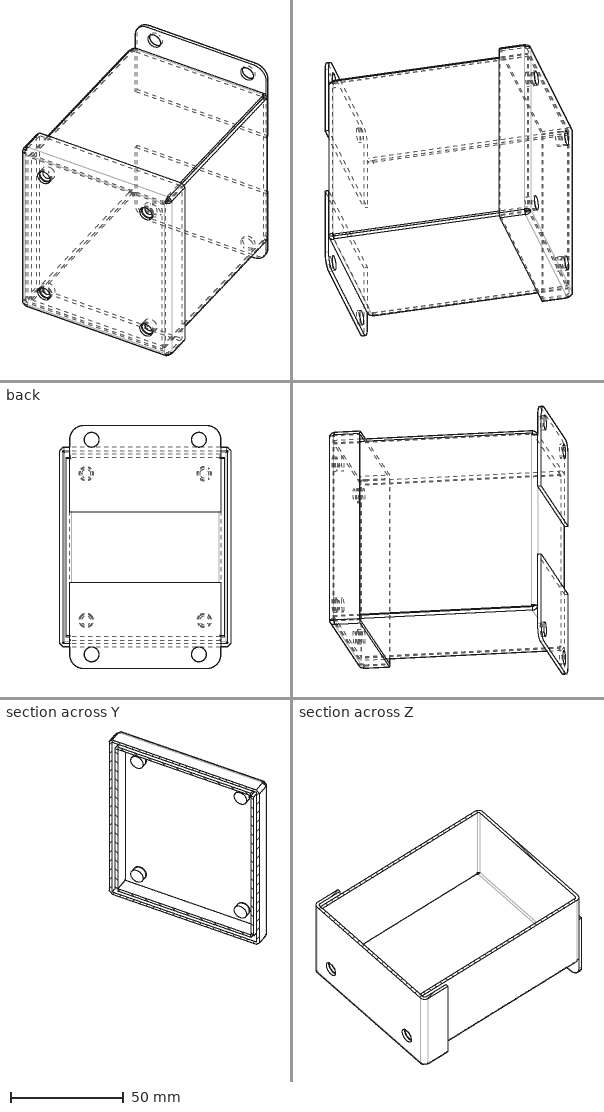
import cadquery as cq


OVERALL_HEIGHT = 108.0
OVERALL_DEPTH = 95.1
SHEET = 1.6
BEND_RADIUS = 2.4
BEND_RELIEF = 2.0

COVER_WIDTH = 76.2
COVER_HEIGHT = 88.6
COVER_DEPTH = 14.0
COVER_CORNER_CHAMFER = 1.6

BOX_WIDTH = 70.4
BOX_HEIGHT = 82.7
BOX_NOTCH = 1.5
BOX_FRONT = SHEET
BOX_BACK = OVERALL_DEPTH - SHEET

PLATE_WIDTH = BOX_WIDTH - 2 * SHEET
PLATE_HEIGHT = 38.3
PLATE_CORNER_RADIUS = 6.4
PLATE_HOLE_DIAMETER = 6.5
PLATE_HOLE_SPACING = 47.6
PLATE_HOLE_INSET = 6.4

SCREW_DIAMETER = 6.4
SCREW_SPACING_X = 52.4
SCREW_SPACING_Z = 65.1
SCREW_SETBACK = 1.4
SCREW_BACK = 4.3
SOCKET_MOUTH_DIAMETER = 5.5
SOCKET_FLOOR_DIAMETER = 4.0
SOCKET_DEPTH = 1.2


def block(width, height, front, back):
    """Block centred on X and Z that reaches from Y = front to Y = back."""
    return cq.Workplane("XY").box(width, back - front, height).translate((0, (front + back) / 2, 0))


def corner_bars(width, height, size, front, back):
    """Four square bars along Y that fill the corners of a width x height outline."""
    return (
        cq.Workplane("XZ", origin=(0, front, 0))
        .rect(width - size, height - size, forConstruction=True)
        .vertices()
        .rect(size, size)
        .extrude(front - back)
    )


def bent_tray(width, height, front, back, panel_side):
    """Hollow sheet tray, bent along the edges of its panel, which is the panel_side ('<Y' or '>Y') face."""
    outside = block(width, height, front, back).faces(panel_side).edges().fillet(BEND_RADIUS)
    inside_width = width - 2 * SHEET
    inside_height = height - 2 * SHEET
    if panel_side == "<Y":
        inside = block(inside_width, inside_height, front + SHEET, back)
    else:
        inside = block(inside_width, inside_height, front, back - SHEET)
    inside = inside.faces(panel_side).edges().fillet(BEND_RADIUS - SHEET)
    return outside.cut(inside)


def make_cover():
    """Shallow tray with bevelled closed corners, relieved at the bends, and screw holes."""
    bevelled = block(COVER_WIDTH, COVER_HEIGHT, 0, COVER_DEPTH).edges("|Y").chamfer(COVER_CORNER_CHAMFER)
    reliefs = corner_bars(COVER_WIDTH, COVER_HEIGHT, BEND_RELIEF, 0, BEND_RADIUS)
    screw_holes = (
        cq.Workplane("XZ")
        .rect(SCREW_SPACING_X, SCREW_SPACING_Z, forConstruction=True)
        .vertices()
        .circle(SCREW_DIAMETER / 2)
        .extrude(-SHEET)
    )
    tray = bent_tray(COVER_WIDTH, COVER_HEIGHT, 0, COVER_DEPTH, "<Y")
    return tray.intersect(bevelled).cut(reliefs).cut(screw_holes)


def make_box():
    """Deep tray open to the front, with square notches along its four long corners."""
    bend_front = BOX_BACK - BEND_RADIUS
    notches = corner_bars(BOX_WIDTH, BOX_HEIGHT, BOX_NOTCH, BOX_FRONT, BOX_BACK)
    reliefs = corner_bars(BOX_WIDTH, BOX_HEIGHT, BEND_RELIEF, bend_front, BOX_BACK)
    tray = bent_tray(BOX_WIDTH, BOX_HEIGHT, BOX_FRONT, BOX_BACK, ">Y")
    return tray.cut(notches).cut(reliefs)


def make_plate(side):
    """Mounting plate on the back of the box, at the top (side = 1) or the bottom (side = -1)."""
    outer_edge = ">Z" if side > 0 else "<Z"
    plate_z = side * (OVERALL_HEIGHT - PLATE_HEIGHT) / 2
    hole_z = side * (OVERALL_HEIGHT / 2 - PLATE_HOLE_INSET)
    plate = block(PLATE_WIDTH, PLATE_HEIGHT, BOX_BACK, OVERALL_DEPTH).translate((0, 0, plate_z))
    plate = plate.faces(outer_edge).edges("|Y").fillet(PLATE_CORNER_RADIUS)
    holes = (
        cq.Workplane("XZ", origin=(0, BOX_BACK, hole_z))
        .pushPoints([(-PLATE_HOLE_SPACING / 2, 0), (PLATE_HOLE_SPACING / 2, 0)])
        .circle(PLATE_HOLE_DIAMETER / 2)
        .extrude(-SHEET)
    )
    return plate.cut(holes)


def make_screw(x, z):
    """Round screw, set back in its cover hole, with a tapered blind socket in its front face."""
    socket_floor = SCREW_SETBACK + SOCKET_DEPTH
    half_section = [
        (0, socket_floor),
        (SOCKET_FLOOR_DIAMETER / 2, socket_floor),
        (SOCKET_MOUTH_DIAMETER / 2, SCREW_SETBACK),
        (SCREW_DIAMETER / 2, SCREW_SETBACK),
        (SCREW_DIAMETER / 2, SCREW_BACK),
        (0, SCREW_BACK),
    ]
    screw = cq.Workplane("XY").polyline(half_section).close().revolve(360, (0, 0, 0), (0, 1, 0))
    return screw.translate((x, 0, z))


cover = make_cover()
box = make_box()
plates = [make_plate(side) for side in (1, -1)]
screws = [
    make_screw(side_x * SCREW_SPACING_X / 2, side_z * SCREW_SPACING_Z / 2)
    for side_x in (1, -1)
    for side_z in (1, -1)
]

result = cq.Compound.makeCompound(
    [
        cover.val(),
        box.val(),
        *[plate.val() for plate in plates],
        *[screw.val() for screw in screws],
    ]
)